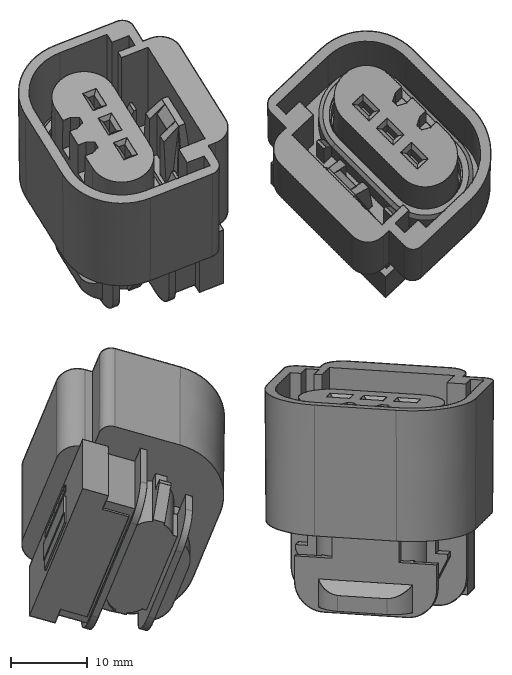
import cadquery as cq
import math


TOTAL_DEPTH = 23.13
TOTAL_HEIGHT = 29.3

SHROUD_HEIGHT = 17.68
SHROUD_HALF_WIDTH = 14.08
CORNER_CENTRE_X = 5.5
CORNER_RADIUS = SHROUD_HALF_WIDTH - CORNER_CENTRE_X
SHOULDER_Y = 10.6
SHOULDER_RADIUS = 1.6
HUMP_HALF_WIDTH = 9.64
HUMP_RADIUS = 2.9
HUMP_Y = TOTAL_DEPTH - CORNER_RADIUS
DRAFT = 0.12
FLOOR_TOP = 1.5

CAVITY_RADIUS = 7.2
CAVITY_HALF_WIDTH = CORNER_CENTRE_X + CAVITY_RADIUS
CAVITY_BACK_Y = 6.86
WINDOW_HALF_WIDTH = 8.41
WINDOW_BACK_Y = 10.72
KEY_SLOT_BACK_Y = 9.34
KEY_SLOT_SPANS = [(-11.24, -9.48), (10.95, CAVITY_HALF_WIDTH)]

COLLAR_RADIUS = 6.24
COLLAR_TOP = 7.0
COLLAR_CHAMFER = 0.54
GROOVE_RADIUS = 4.85
GROOVE_STEP_RADIUS = 4.62
GROOVE_STEP_Z = 6.0
CORE_BASE_RADIUS = 4.32
CORE_TOP_RADIUS = 4.22
CORE_TOP = 16.56
COLLAR_POST_X = (5.6, 6.98)
COLLAR_POST_BACK_Y = 7.67
COLLAR_POST_CREST_Y = 7.26

PITCH = 4.53
OPENING_Y = 1.04
OPENING_WIDTH = 3.12
OPENING_HEIGHT = 1.95
OPENING_CHAMFER = 0.54
OPENING_DEPTH = 4.0
KEYWAY_HALF_WIDTH = 0.99
KEYWAY_TIP_HALF_WIDTH = 0.45
KEYWAY_TIP_Y = -2.05
KEYWAY_TAPER_Y = -3.1
KEYWAY_DEPTH = 6.0

LATCH_TOP = 14.06
LATCH_BASE = 4.0
LATCH_TOP_HALF_WIDTH = 2.52
LATCH_BASE_HALF_WIDTH = 5.65
LATCH_TOP_Y = 9.8
LATCH_BASE_Y = 9.0
LATCH_STEP_HALF_WIDTH = 4.75
LATCH_STEP_Y = 8.4
PRONG_BASE_HALF_WIDTH = 3.35
PRONG_FRONT_Y = 7.55
PRONG_SHOULDER_Z = 12.1
PANEL_HALF_WIDTH = 1.54
PANEL_FRONT_Y = 8.66
PANEL_SHOULDER_Z = 12.6

PLATE_BOTTOM = SHROUD_HEIGHT - TOTAL_HEIGHT
PLATE_THICKNESS = 0.93
PLATE_RADIUS = 4.0
REAR_PLATE_Y = 3.8
REAR_PLATE_HALF_WIDTH = 11.8
FRONT_PLATE_Y = -3.22
FRONT_PLATE_HALF_WIDTH = 9.57
FRONT_PLATE_TOP = -4.27
FRONT_PLATE_BACK_Y = FRONT_PLATE_Y + PLATE_THICKNESS

BODY_RADIUS = 2.97
BODY_Y = 0.76
BODY_BOTTOM = -9.29
WEB_HALF_WIDTH = 6.2
FRONT_WEB_BACK_Y = -1.73
REAR_WEB_FRONT_Y = 3.17
BARB_FRONT_Y = -0.04
BARB_BACK_Y = 1.56
BARB_NECK_X = 8.64
BARB_TIP_X = 10.24
BARB_TOP = -3.6
BARB_TIP_BOTTOM = -4.23
BARB_FOOT_X = 7.73

GRIP_TOP = -7.18
GRIP_SHOULDER = -8.8
GRIP_BOTTOM = -10.93
GRIP_FRONT_Y = -4.91
GRIP_HALF_WIDTH = 6.35
GRIP_FRONT_HALF_WIDTH = 3.35
GRIP_ARC_MID = (5.2, -4.3)

TOWER_HALF_WIDTH = 10.7
TOWER_FRONT_Y = 8.76
TOWER_BACK_Y = 12.31
TOWER_BOTTOM = -11.26
TOWER_INNER_HALF_WIDTH = 9.95
TOWER_INNER_BACK_Y = 11.4
TOWER_FLOOR = 1.0
NECK_HALF_WIDTH = 9.6
NECK_BOTTOM = -10.87
SLAB_FRONT_Y = 5.1
BACK_PAD_HALF_WIDTH = 4.0
BACK_PADS = [(12.44, -2.58, -1.36), (12.66, -7.8, -3.96), (12.53, -10.0, -7.8)]


def block(x_span, y_span, z_span):
    """Axis-aligned box given by its spans along X, Y and Z."""
    size = [span[1] - span[0] for span in (x_span, y_span, z_span)]
    corner = (x_span[0], y_span[0], z_span[0])
    return cq.Workplane("XY").box(*size, centered=False).translate(corner)


def centred_block(half_width, y_span, z_span):
    return block((-half_width, half_width), y_span, z_span)


def pill(half_straight, radius, z_bottom, z_top, centre_y=0.0):
    length = 2 * (half_straight + radius)
    plane = cq.Workplane("XY", origin=(0, centre_y, z_bottom))
    return plane.slot2D(length, 2 * radius).extrude(z_top - z_bottom)


def arc_point(centre, radius, angle):
    """Point on a circle at an angle in degrees."""
    turn = math.radians(angle)
    return (centre[0] + radius * math.cos(turn), centre[1] + radius * math.sin(turn))


def shroud_outline(plane, inset):
    """Outline of the shroud with its sides and front moved in by the inset."""
    side = SHROUD_HALF_WIDTH - inset
    radius = CORNER_RADIUS - inset
    hump_side = HUMP_HALF_WIDTH
    shoulder_centre = (side - SHOULDER_RADIUS, SHOULDER_Y - SHOULDER_RADIUS)
    hump_centre = (hump_side - HUMP_RADIUS, HUMP_Y - HUMP_RADIUS)
    left_shoulder = (-shoulder_centre[0], shoulder_centre[1])
    left_hump = (-hump_centre[0], hump_centre[1])
    right_shoulder_mid = arc_point(shoulder_centre, SHOULDER_RADIUS, 45)
    right_corner = arc_point((CORNER_CENTRE_X, 0), radius, -45)
    left_corner = arc_point((-CORNER_CENTRE_X, 0), radius, -135)
    return (
        plane.moveTo(-CORNER_CENTRE_X, -radius)
        .lineTo(CORNER_CENTRE_X, -radius)
        .threePointArc(right_corner, (side, 0))
        .lineTo(side, shoulder_centre[1])
        .threePointArc(right_shoulder_mid, (shoulder_centre[0], SHOULDER_Y))
        .lineTo(hump_side, SHOULDER_Y)
        .lineTo(hump_side, hump_centre[1])
        .threePointArc(arc_point(hump_centre, HUMP_RADIUS, 45), (hump_centre[0], HUMP_Y))
        .lineTo(left_hump[0], HUMP_Y)
        .threePointArc(arc_point(left_hump, HUMP_RADIUS, 135), (-hump_side, left_hump[1]))
        .lineTo(-hump_side, SHOULDER_Y)
        .lineTo(left_shoulder[0], SHOULDER_Y)
        .threePointArc(arc_point(left_shoulder, SHOULDER_RADIUS, 135), (-side, left_shoulder[1]))
        .lineTo(-side, 0)
        .threePointArc(left_corner, (-CORNER_CENTRE_X, -radius))
        .close()
    )


def make_shroud():
    lower = shroud_outline(cq.Workplane("XY"), DRAFT)
    return shroud_outline(lower.workplane(offset=SHROUD_HEIGHT), 0).loft(ruled=True, combine=True)


def make_cavity():
    z_span = (FLOOR_TOP, SHROUD_HEIGHT)
    front = pill(CORNER_CENTRE_X, CAVITY_RADIUS, *z_span)
    front = front.intersect(centred_block(CAVITY_HALF_WIDTH, (-CAVITY_RADIUS, 0), z_span))
    cavity = front.union(centred_block(CAVITY_HALF_WIDTH, (0, CAVITY_BACK_Y), z_span))
    cavity = cavity.union(centred_block(WINDOW_HALF_WIDTH, (0, WINDOW_BACK_Y), z_span))
    for span in KEY_SLOT_SPANS:
        cavity = cavity.union(block(span, (0, KEY_SLOT_BACK_Y), z_span))
    return cavity


def make_collar():
    collar = pill(CORNER_CENTRE_X, COLLAR_RADIUS, 0, COLLAR_TOP).faces(">Z").chamfer(COLLAR_CHAMFER)
    for side in (-1, 1):
        collar = collar.union(make_collar_post(side))
    collar = collar.cut(pill(CORNER_CENTRE_X, GROOVE_RADIUS, GROOVE_STEP_Z, COLLAR_TOP))
    return collar.cut(pill(CORNER_CENTRE_X, GROOVE_STEP_RADIUS, FLOOR_TOP, COLLAR_TOP))


def make_collar_post(side):
    """Wedge behind the collar whose crest slopes down towards the collar."""
    front_y = GROOVE_RADIUS
    crest = COLLAR_TOP + COLLAR_POST_CREST_Y - front_y
    post = (
        cq.Workplane("YZ", origin=(COLLAR_POST_X[0], 0, 0))
        .polyline([
            (front_y, 0),
            (COLLAR_POST_BACK_Y, 0),
            (COLLAR_POST_BACK_Y, crest),
            (COLLAR_POST_CREST_Y, crest),
            (COLLAR_RADIUS, COLLAR_TOP - COLLAR_CHAMFER),
            (front_y, COLLAR_TOP - COLLAR_CHAMFER),
        ])
        .close()
        .extrude(COLLAR_POST_X[1] - COLLAR_POST_X[0])
    )
    return post if side > 0 else post.mirror("YZ")


def make_core():
    core = (
        cq.Workplane("XY")
        .slot2D(2 * (CORNER_CENTRE_X + CORE_BASE_RADIUS), 2 * CORE_BASE_RADIUS)
        .workplane(offset=CORE_TOP)
        .slot2D(2 * (CORNER_CENTRE_X + CORE_TOP_RADIUS), 2 * CORE_TOP_RADIUS)
        .loft(ruled=True, combine=True)
    )
    for index in (-1, 0, 1):
        core = core.cut(make_opening(index * PITCH))
    for side in (-1, 1):
        core = core.cut(make_keyway(side * PITCH / 2))
    return core


def make_opening(centre_x):
    """Rectangular terminal opening with a chamfered lead-in."""
    throat_width = OPENING_WIDTH - 2 * OPENING_CHAMFER
    throat_height = OPENING_HEIGHT - 2 * OPENING_CHAMFER
    plane = cq.Workplane("XY", origin=(centre_x, OPENING_Y, CORE_TOP))
    throat = plane.rect(throat_width, throat_height).extrude(-OPENING_DEPTH)
    lead_in = (
        plane.rect(OPENING_WIDTH, OPENING_HEIGHT)
        .workplane(offset=-OPENING_CHAMFER)
        .rect(throat_width, throat_height)
        .loft(ruled=True, combine=True)
    )
    return throat.union(lead_in)


def make_keyway(centre_x):
    return (
        cq.Workplane("XY", origin=(centre_x, 0, CORE_TOP - KEYWAY_DEPTH))
        .polyline([
            (-KEYWAY_HALF_WIDTH, -GROOVE_RADIUS),
            (KEYWAY_HALF_WIDTH, -GROOVE_RADIUS),
            (KEYWAY_HALF_WIDTH, KEYWAY_TAPER_Y),
            (KEYWAY_TIP_HALF_WIDTH, KEYWAY_TIP_Y),
            (-KEYWAY_TIP_HALF_WIDTH, KEYWAY_TIP_Y),
            (-KEYWAY_HALF_WIDTH, KEYWAY_TAPER_Y),
        ])
        .close()
        .extrude(KEYWAY_DEPTH)
    )


def latch_wedge(base_half_width, base_y, top_y):
    """Wedge on the rear wall that narrows from the latch base up to the crest."""
    base_depth = WINDOW_BACK_Y - base_y
    top_depth = WINDOW_BACK_Y - top_y
    return (
        cq.Workplane("XY", origin=(0, WINDOW_BACK_Y - base_depth / 2, LATCH_BASE))
        .rect(2 * base_half_width, base_depth)
        .workplane(offset=LATCH_TOP - LATCH_BASE)
        .center(0, (base_depth - top_depth) / 2)
        .rect(2 * LATCH_TOP_HALF_WIDTH, top_depth)
        .loft(ruled=True, combine=True)
    )


def sloped_front(half_width, front_y, shoulder_z):
    """Bar whose front slopes from the latch crest to a shoulder and then drops straight."""
    return (
        cq.Workplane("YZ")
        .polyline([
            (WINDOW_BACK_Y, LATCH_BASE),
            (WINDOW_BACK_Y, LATCH_TOP),
            (LATCH_TOP_Y, LATCH_TOP),
            (front_y, shoulder_z),
            (front_y, LATCH_BASE),
        ])
        .close()
        .extrude(half_width, both=True)
    )


def make_latch():
    prongs = latch_wedge(PRONG_BASE_HALF_WIDTH, PRONG_FRONT_Y, PRONG_FRONT_Y)
    prongs = prongs.intersect(sloped_front(PRONG_BASE_HALF_WIDTH, PRONG_FRONT_Y, PRONG_SHOULDER_Z))
    latch = latch_wedge(LATCH_BASE_HALF_WIDTH, LATCH_BASE_Y, LATCH_TOP_Y)
    latch = latch.union(latch_wedge(LATCH_STEP_HALF_WIDTH, LATCH_STEP_Y, LATCH_TOP_Y))
    latch = latch.union(prongs)
    gap = centred_block(PANEL_HALF_WIDTH, (PRONG_FRONT_Y, WINDOW_BACK_Y), (LATCH_BASE, LATCH_TOP))
    panel = sloped_front(PANEL_HALF_WIDTH, PANEL_FRONT_Y, PANEL_SHOULDER_Z)
    return latch.cut(gap).union(panel)


def make_plate(half_width, front_y, top):
    plate = centred_block(half_width, (front_y, front_y + PLATE_THICKNESS), (PLATE_BOTTOM, top))
    return plate.faces("<Z").edges("|Y").fillet(PLATE_RADIUS)


def make_barbs():
    """Rib through the body with a hooked barb at each end."""
    right_half = [
        (BARB_NECK_X, 0),
        (BARB_NECK_X, BARB_TOP),
        (BARB_TIP_X, BARB_TOP),
        (BARB_TIP_X, BARB_TIP_BOTTOM),
        (BARB_FOOT_X, BODY_BOTTOM),
    ]
    left_half = [(-x, z) for x, z in reversed(right_half)]
    plane = cq.Workplane("XZ", origin=(0, BARB_BACK_Y, 0))
    return plane.polyline(right_half + left_half).close().extrude(BARB_BACK_Y - BARB_FRONT_Y)


def make_grip():
    """Finger grip with rounded ends and a sloping top."""
    arc_x, arc_y = GRIP_ARC_MID
    plan = (
        cq.Workplane("XY", origin=(0, 0, GRIP_BOTTOM))
        .moveTo(-GRIP_HALF_WIDTH, FRONT_PLATE_Y)
        .threePointArc((-arc_x, arc_y), (-GRIP_FRONT_HALF_WIDTH, GRIP_FRONT_Y))
        .lineTo(GRIP_FRONT_HALF_WIDTH, GRIP_FRONT_Y)
        .threePointArc((arc_x, arc_y), (GRIP_HALF_WIDTH, FRONT_PLATE_Y))
        .close()
        .extrude(GRIP_TOP - GRIP_BOTTOM)
    )
    side_profile = (
        cq.Workplane("YZ")
        .polyline([
            (FRONT_PLATE_Y, GRIP_BOTTOM),
            (GRIP_FRONT_Y, GRIP_BOTTOM),
            (GRIP_FRONT_Y, GRIP_SHOULDER),
            (FRONT_PLATE_Y, GRIP_TOP),
        ])
        .close()
        .extrude(GRIP_HALF_WIDTH, both=True)
    )
    return plan.intersect(side_profile)


def make_lower_body():
    body = pill(PITCH, BODY_RADIUS, BODY_BOTTOM, 0, BODY_Y)
    body = body.union(make_barbs())
    body = body.union(make_plate(REAR_PLATE_HALF_WIDTH, REAR_PLATE_Y, 0))
    body = body.union(make_plate(FRONT_PLATE_HALF_WIDTH, FRONT_PLATE_Y, FRONT_PLATE_TOP))
    body = body.union(centred_block(PITCH, (FRONT_PLATE_Y, BODY_Y), (FRONT_PLATE_TOP, 0)))
    front_web_y = (FRONT_PLATE_BACK_Y, FRONT_WEB_BACK_Y)
    body = body.union(centred_block(WEB_HALF_WIDTH, front_web_y, (BODY_BOTTOM, FRONT_PLATE_TOP)))
    rear_web_y = (REAR_WEB_FRONT_Y, REAR_PLATE_Y)
    body = body.union(centred_block(WEB_HALF_WIDTH, rear_web_y, (BODY_BOTTOM, 0)))
    return body.union(make_grip())


def make_tower():
    neck_front_y = REAR_PLATE_Y + PLATE_THICKNESS
    tower = centred_block(TOWER_HALF_WIDTH, (TOWER_FRONT_Y, TOWER_BACK_Y), (TOWER_BOTTOM, 0))
    tower = tower.union(centred_block(NECK_HALF_WIDTH, (neck_front_y, TOWER_FRONT_Y), (NECK_BOTTOM, 0)))
    tower = tower.union(
        centred_block(WINDOW_HALF_WIDTH, (SLAB_FRONT_Y, TOWER_FRONT_Y), (TOWER_BOTTOM, NECK_BOTTOM)))
    for back_y, bottom, top in BACK_PADS:
        tower = tower.union(centred_block(BACK_PAD_HALF_WIDTH, (TOWER_BACK_Y, back_y), (bottom, top)))
    return tower


def make_tower_hollow():
    """Hollow of the tower, open at its top beside the shroud hump."""
    wall = TOWER_BACK_Y - TOWER_INNER_BACK_Y
    y_span = (TOWER_FRONT_Y + wall, TOWER_INNER_BACK_Y)
    return centred_block(TOWER_INNER_HALF_WIDTH, y_span, (TOWER_BOTTOM + TOWER_FLOOR, 0))


result = make_shroud().cut(make_cavity())
result = result.union(make_tower()).cut(make_tower_hollow())
result = result.union(make_collar()).union(make_core())
result = result.union(make_latch()).union(make_lower_body())